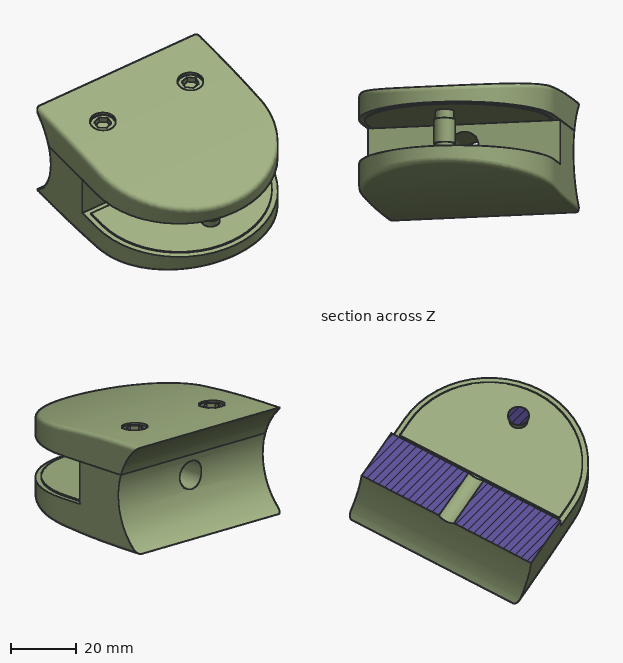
import cadquery as cq
import math

width = 60.0
half_width = width / 2
half_height = 16.995
round_center_x = 33.55
rim_fillet = 1.5

crown_start_x = 8.5
crown_radius = 285.9
crown_overrun = 0.65

tube_radius = 21.2
tube_center_x = -math.sqrt(tube_radius**2 - half_height**2)
stock_extra = 6.35
stock_start_x = -stock_extra

slot_start_x = 25.7
slot_half_gap = 6.8
pad_inset = 1.8
pad_start_x = 27.7
pad_height = 0.45
pad_half_gap = slot_half_gap - pad_height

mounting_hole_diameter = 9.0

screw_x = 16.6
screw_half_spacing = 16.0
screw_offset_y = -0.3
screw_head_diameter = 7.9
screw_head_round = 0.65
screw_head_top_z = 16.4
hex_corner_diameter = 5.2
hex_depth = 1.9
upper_hex_angle = -13.0
lower_hex_angle = -8.0

pin_x = 50.7
pin_end_diameter = 5.6
pin_collar_diameter = 6.5
pin_collar_length = 7.45


def d_outline(start_x, half_span, bottom_z, top_z):
    """Prism with a flat end at start_x and a semicircular end at +X."""
    return (
        cq.Workplane("XY", origin=(0, 0, bottom_z))
        .moveTo(start_x, -half_span)
        .lineTo(round_center_x, -half_span)
        .threePointArc((round_center_x + half_span, 0), (round_center_x, half_span))
        .lineTo(start_x, half_span)
        .close()
        .extrude(top_z - bottom_z)
    )


def crown_z(x):
    """Height of the crowned outer face at x."""
    run = x - crown_start_x
    return half_height - crown_radius + math.sqrt(crown_radius**2 - run**2)


def crowned_profile():
    """Side profile between the two crowned faces, as wide as the clamp."""
    end_x = round_center_x + half_width + crown_overrun
    middle_x = (crown_start_x + end_x) / 2
    return (
        cq.Workplane("XZ")
        .moveTo(stock_start_x, half_height)
        .lineTo(crown_start_x, half_height)
        .threePointArc((middle_x, crown_z(middle_x)), (end_x, crown_z(end_x)))
        .lineTo(end_x, -crown_z(end_x))
        .threePointArc((middle_x, -crown_z(middle_x)), (crown_start_x, -half_height))
        .lineTo(stock_start_x, -half_height)
        .close()
        .extrude(half_width, both=True)
    )


def clamp_envelope():
    """Rounded outer shape of the closed clamp with its saddle."""
    blank = d_outline(stock_start_x, half_width, -half_height, half_height)
    blank = blank.intersect(crowned_profile())
    side_edges = blank.edges("|X").edges(">Y or <Y")
    blank = side_edges.fillet(rim_fillet)
    tube = (
        cq.Workplane("XZ", origin=(tube_center_x, 0, 0))
        .circle(tube_radius)
        .extrude(width, both=True)
    )
    return blank.cut(tube).cut(stock_ahead_of_saddle())


def stock_ahead_of_saddle():
    """Block that clears the waste in front of the saddle."""
    block = cq.Workplane("XY").box(2 * stock_extra, 2 * width, 4 * half_height)
    return block.translate((-stock_extra, 0, 0))


def pad(bottom_z):
    """Thin raised D-shaped pad on a slot face."""
    return d_outline(pad_start_x, half_width - pad_inset, bottom_z, bottom_z + pad_height)


def base_body(envelope):
    """Lower jaw with the spine, its pad and the mounting hole."""
    spine = d_outline(stock_start_x, half_width, -half_height, slot_half_gap)
    slot = (
        cq.Workplane("XY", origin=(slot_start_x, 0, 0))
        .box(width, 2 * width, 2 * slot_half_gap, centered=(False, True, True))
    )
    mounting_hole = (
        cq.Workplane("YZ").circle(mounting_hole_diameter / 2).extrude(slot_start_x)
    )
    base = envelope.intersect(spine).cut(slot).cut(mounting_hole)
    return base.union(pad(-slot_half_gap))


def screw_recess(center_y, hex_angle):
    """Material removed to leave a sunk, rounded screw head with a hex socket."""
    radius = screw_head_diameter / 2
    flat_radius = radius - screw_head_round
    round_center_z = screw_head_top_z - screw_head_round
    round_reach = screw_head_round * math.sqrt(0.5)
    above_head = (
        cq.Workplane("XZ")
        .moveTo(0, screw_head_top_z)
        .lineTo(flat_radius, screw_head_top_z)
        .threePointArc(
            (flat_radius + round_reach, round_center_z + round_reach),
            (radius, round_center_z),
        )
        .lineTo(radius, half_height)
        .lineTo(0, half_height)
        .close()
        .revolve(360, (0, 0, 0), (0, 1, 0))
    )
    socket = (
        cq.Workplane("XY", origin=(0, 0, screw_head_top_z - hex_depth))
        .polygon(6, hex_corner_diameter)
        .extrude(hex_depth)
        .rotate((0, 0, 0), (0, 0, 1), hex_angle)
    )
    return above_head.union(socket).translate((screw_x, center_y, 0))


def cap_body(envelope):
    """Upper jaw with its pad and the two sunk screw heads."""
    upper_half = d_outline(stock_start_x, half_width, slot_half_gap, half_height)
    cap = envelope.intersect(upper_half).union(pad(pad_half_gap))
    for side, hex_angle in ((1, upper_hex_angle), (-1, lower_hex_angle)):
        cap = cap.cut(screw_recess(screw_offset_y + side * screw_half_spacing, hex_angle))
    return cap


def pin_body():
    """Panel pin with a thicker collar in the middle, standing between the pads."""
    end_radius = pin_end_diameter / 2
    collar_radius = pin_collar_diameter / 2
    collar_half_length = pin_collar_length / 2
    return (
        cq.Workplane("XZ", origin=(pin_x, 0, 0))
        .moveTo(0, -pad_half_gap)
        .lineTo(end_radius, -pad_half_gap)
        .lineTo(end_radius, -collar_half_length)
        .lineTo(collar_radius, -collar_half_length)
        .lineTo(collar_radius, collar_half_length)
        .lineTo(end_radius, collar_half_length)
        .lineTo(end_radius, pad_half_gap)
        .lineTo(0, pad_half_gap)
        .close()
        .revolve(360, (0, 0, 0), (0, 1, 0))
    )


envelope = clamp_envelope()
base = base_body(envelope)
cap = cap_body(envelope)
pin = pin_body()

result = cq.Compound.makeCompound([base.val(), cap.val(), pin.val()])